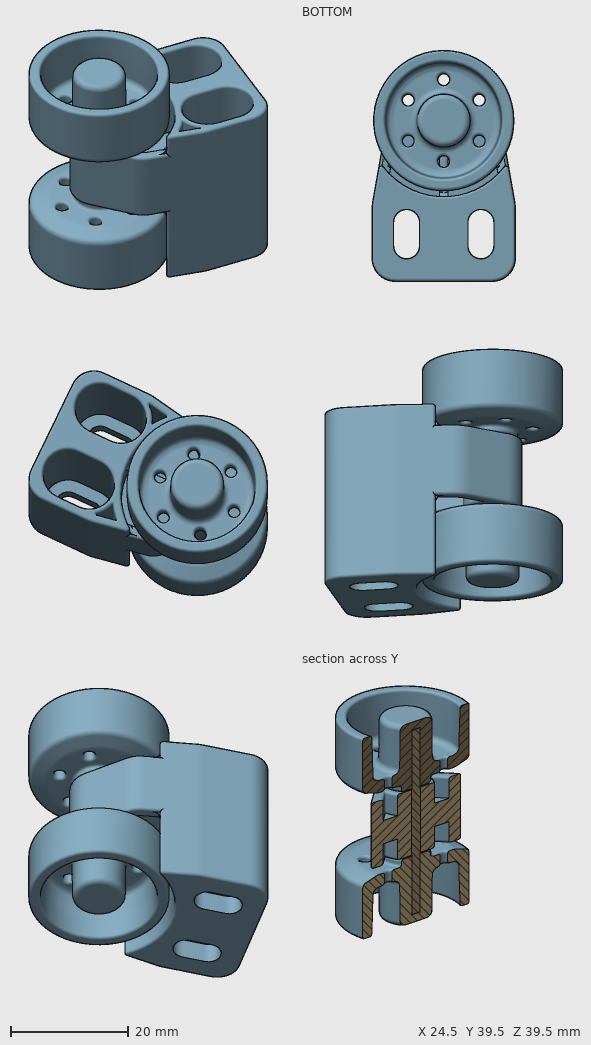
import cadquery as cq
import math


WHEEL_RADIUS = 12.0
WHEEL_RIM_Z = 19.0
WHEEL_FACE_Z = 7.7
WHEEL_FLOOR_Z = 10.1
RIM_WALL_RADIUS = 10.02
WALL_DRAFT = math.radians(2)
CONE_ANGLE = math.radians(17)
FACE_FLAT_RADIUS = 8.87
FLOOR_FLAT_RADIUS = 8.55
HUB_TOP_RADIUS = 4.5
HUB_BASE_RADIUS = 4.63
BOSS_RADIUS = 4.3
RUNNING_GAP = 0.1
EDGE_ROUND = 0.5
WHEEL_ROUND = 1.0
FACE_BLEND = 2.5
WHEEL_HOLE_COUNT = 6
WHEEL_HOLE_RADIUS = 1.0
WHEEL_HOLE_CIRCLE_RADIUS = 7.0

AXLE_RADIUS = 3.0
AXLE_END_COVER = 1.5
AXLE_END_Z = WHEEL_RIM_Z - AXLE_END_COVER

BRACKET_WIDTH = 24.5
BRACKET_BACK_Y = 27.5
BRACKET_TOP_Z = 10.0
BRACKET_BOTTOM_Z = -20.5
BACK_CORNER_RADIUS = 4.0
SHOULDER_Y = 14.45
SHOULDER_RADIUS = 7.5
SIDE_TAPER = math.radians(10)
CHEEK_RADIUS = 5.0
NOSE_RADIUS = 5.0
ARM_HALF_HEIGHT = 6.25
WHEEL_CLEARANCE_RADIUS = 13.0
ARM_ROOT_ROUND = 0.75

SLOT_X = 6.35
SLOT_Y = 19.4
SLOT_CENTRE_DISTANCE = 4.0
SLOT_WIDTH = 4.4
BORE_RADIUS = 4.27
BASE_THICKNESS = 4.0

CORNER_POCKET_WALL = 1.5
BORE_WALL = 1.05
ARM_POCKET_DEPTH = 4.0
ARM_RIM_WALL = 2.0
ARM_BOSS_RADIUS = 5.0
ARM_RIB_WIDTH = 1.5
POCKET_CORNER_RADIUS = 0.1
ARM_JOINT_OVERLAP = 1.0


def rounded_outline(plane, corners):
    """Closed wire through (u, v, radius) corners, each rounded by a tangent arc where radius > 0."""
    points = [cq.Vector(u, v) for u, v, _ in corners]
    count = len(points)
    stretches = []
    for i in range(count):
        corner = points[i]
        radius = corners[i][2]
        if radius == 0:
            stretches.append([corner])
            continue
        back = (points[i - 1] - corner).normalized()
        ahead = (points[(i + 1) % count] - corner).normalized()
        half_angle = back.getAngle(ahead) / 2
        tangent_length = radius / math.tan(half_angle)
        bisector = (back + ahead).normalized()
        arc_middle = corner + bisector * (radius / math.sin(half_angle) - radius)
        stretches.append([corner + back * tangent_length, arc_middle, corner + ahead * tangent_length])

    outline = cq.Workplane(plane).moveTo(*stretches[0][-1].toTuple()[:2])
    for stretch in stretches[1:] + stretches[:1]:
        outline = outline.lineTo(*stretch[0].toTuple()[:2])
        if len(stretch) > 1:
            outline = outline.threePointArc(stretch[1].toTuple()[:2], stretch[2].toTuple()[:2])
    return outline.close()


def cylinder(radius, bottom, top):
    return cq.Workplane("XY").workplane(offset=bottom).circle(radius).extrude(top - bottom)


def add_wheel_holes(wheel):
    """Ring of holes through the floor of the cup, with both mouths rounded."""
    for i in range(WHEEL_HOLE_COUNT):
        angle = 2 * math.pi * i / WHEEL_HOLE_COUNT
        x = WHEEL_HOLE_CIRCLE_RADIUS * math.sin(angle)
        y = WHEEL_HOLE_CIRCLE_RADIUS * math.cos(angle)
        wheel = wheel.cut(cylinder(WHEEL_HOLE_RADIUS, 0, WHEEL_RIM_Z).translate((x, y, 0)))
        reach = WHEEL_HOLE_RADIUS + EDGE_ROUND / 2
        low = (x - reach, y - reach, WHEEL_FACE_Z - EDGE_ROUND)
        high = (x + reach, y + reach, WHEEL_FLOOR_Z + EDGE_ROUND)
        hole_box = cq.selectors.BoxSelector(low, high, boundingbox=True)
        wheel = wheel.edges(hole_box).edges("%CIRCLE").fillet(EDGE_ROUND)
    return wheel


def make_wheel():
    """Upper wheel: a cup with a coned face, a closed hub for the axle and a ring of holes."""
    cone_slope = math.tan(CONE_ANGLE)
    draft_slope = math.tan(WALL_DRAFT)
    cone_outer_z = WHEEL_FACE_Z + (WHEEL_RADIUS - FACE_FLAT_RADIUS) * cone_slope
    wall_drop = WHEEL_RIM_Z - WHEEL_FLOOR_Z - (RIM_WALL_RADIUS - FLOOR_FLAT_RADIUS) * cone_slope
    wall_drop /= 1 - draft_slope * cone_slope
    wall_foot_radius = RIM_WALL_RADIUS - wall_drop * draft_slope
    boss_end_z = ARM_HALF_HEIGHT + RUNNING_GAP
    profile = [
        (0, AXLE_END_Z, 0),
        (0, WHEEL_RIM_Z, 0),
        (HUB_TOP_RADIUS, WHEEL_RIM_Z, WHEEL_ROUND),
        (HUB_BASE_RADIUS, WHEEL_FLOOR_Z, WHEEL_ROUND),
        (FLOOR_FLAT_RADIUS, WHEEL_FLOOR_Z, WHEEL_ROUND),
        (wall_foot_radius, WHEEL_RIM_Z - wall_drop, WHEEL_ROUND),
        (RIM_WALL_RADIUS, WHEEL_RIM_Z, EDGE_ROUND),
        (WHEEL_RADIUS, WHEEL_RIM_Z, EDGE_ROUND),
        (WHEEL_RADIUS, cone_outer_z, WHEEL_ROUND),
        (FACE_FLAT_RADIUS, WHEEL_FACE_Z, FACE_BLEND),
        (BOSS_RADIUS, WHEEL_FACE_Z, EDGE_ROUND),
        (BOSS_RADIUS, boss_end_z, EDGE_ROUND),
        (AXLE_RADIUS, boss_end_z, 0),
        (AXLE_RADIUS, AXLE_END_Z, 0),
    ]
    wheel = rounded_outline("XZ", profile).revolve(360, (0, 0, 0), (0, 1, 0))
    return add_wheel_holes(wheel)


def side_x(y):
    """Half width of the bracket on its tapered flank."""
    return BRACKET_WIDTH / 2 - (SHOULDER_Y - y) * math.tan(SIDE_TAPER)


def bracket_outline():
    """Plan outline: square back, tapered flanks and a 45-degree nose round the axle."""
    half_width = BRACKET_WIDTH / 2
    nose_tip_y = -NOSE_RADIUS * math.sqrt(2)
    taper_slope = math.tan(SIDE_TAPER)
    cheek_y = (side_x(0) + nose_tip_y) / (1 - taper_slope)
    right = [
        (side_x(cheek_y), cheek_y, CHEEK_RADIUS),
        (half_width, SHOULDER_Y, SHOULDER_RADIUS),
        (half_width, BRACKET_BACK_Y, BACK_CORNER_RADIUS),
    ]
    left = [(-x, y, radius) for x, y, radius in reversed(right)]
    return rounded_outline("XY", [(0, nose_tip_y, NOSE_RADIUS)] + right + left)


def slot_prism(width, x, bottom, top):
    """Upright prism at one mounting slot, with round ends and long in Y."""
    return (
        cq.Workplane("XY")
        .workplane(offset=bottom)
        .center(x, SLOT_Y)
        .slot2D(SLOT_CENTRE_DISTANCE + width, width, 90)
        .extrude(top - bottom)
    )


def corner_pocket(sign):
    """Three-sided pocket between the flank, the clearance bore and the wheel clearance."""
    floor_z = BRACKET_BOTTOM_Z + BASE_THICKNESS
    wall_x = CORNER_POCKET_WALL / math.cos(SIDE_TAPER)
    front_y = WHEEL_CLEARANCE_RADIUS / 2
    flank = [
        (sign * SLOT_X, front_y),
        (sign * (side_x(front_y) - wall_x), front_y),
        (sign * (side_x(SHOULDER_Y) - wall_x), SHOULDER_Y),
        (sign * SLOT_X, SHOULDER_Y),
    ]
    pocket = cq.Workplane("XY").workplane(offset=floor_z).polyline(flank).close()
    pocket = pocket.extrude(BRACKET_TOP_Z - floor_z)
    pocket = pocket.cut(slot_prism(2 * (BORE_RADIUS + BORE_WALL), sign * SLOT_X, floor_z, BRACKET_TOP_Z))
    pocket = pocket.cut(cylinder(WHEEL_CLEARANCE_RADIUS + CORNER_POCKET_WALL, floor_z, BRACKET_TOP_Z))
    return pocket.edges("|Z").fillet(POCKET_CORNER_RADIUS)


def arm_pockets():
    """Pair of pockets in the upper arm face, either side of the rib behind the axle boss."""
    floor_z = ARM_HALF_HEIGHT - ARM_POCKET_DEPTH
    top_z = ARM_HALF_HEIGHT + ARM_ROOT_ROUND
    inside = bracket_outline().offset2D(-ARM_RIM_WALL).extrude(top_z - floor_z)
    inside = inside.translate((0, 0, floor_z))
    pockets = inside.intersect(cylinder(WHEEL_CLEARANCE_RADIUS, floor_z, top_z))
    pockets = pockets.cut(cylinder(ARM_BOSS_RADIUS, floor_z, top_z))
    reach = 2 * WHEEL_CLEARANCE_RADIUS
    pockets = pockets.cut(cq.Workplane("XY").box(ARM_RIB_WIDTH, reach, reach))
    return pockets.edges("|Z").fillet(POCKET_CORNER_RADIUS)


def make_mounting_block():
    """Full-height block behind the wheels, with rounded horns and rounded end edges."""
    block = bracket_outline().extrude(BRACKET_TOP_Z - BRACKET_BOTTOM_Z)
    block = block.translate((0, 0, BRACKET_BOTTOM_Z))
    block = block.cut(cylinder(WHEEL_CLEARANCE_RADIUS, BRACKET_BOTTOM_Z, BRACKET_TOP_Z))
    block = block.edges("|Z and <Y").fillet(EDGE_ROUND)
    return block.faces("<Z or >Z").edges().fillet(EDGE_ROUND)


def round_openings(body, end_face):
    """Round the rims of all openings in one flat end face."""
    face = body.faces(end_face).val()
    rims = [edge for wire in face.innerWires() for edge in wire.Edges()]
    return body.newObject([body.val().fillet(EDGE_ROUND, rims)])


def make_arm(pockets):
    """Pocketed slab between the wheels with rounded edges."""
    arm = bracket_outline().extrude(2 * ARM_HALF_HEIGHT).translate((0, 0, -ARM_HALF_HEIGHT))
    arm = arm.faces("<Z or >Z").edges().fillet(EDGE_ROUND)
    arm = arm.cut(pockets).cut(pockets.mirror("XY"))
    arm = round_openings(arm, ">Z")
    return round_openings(arm, "<Z")


def arm_root():
    """Concave round where the upper arm face meets the wheel clearance wall."""
    inner = WHEEL_CLEARANCE_RADIUS - ARM_ROOT_ROUND
    outer = WHEEL_CLEARANCE_RADIUS + EDGE_ROUND
    top = ARM_HALF_HEIGHT + ARM_ROOT_ROUND
    middle = ARM_ROOT_ROUND * math.sqrt(0.5)
    root = (
        cq.Workplane("XZ")
        .moveTo(inner, 0)
        .lineTo(inner, ARM_HALF_HEIGHT)
        .threePointArc((inner + middle, top - middle), (WHEEL_CLEARANCE_RADIUS, top))
        .lineTo(outer, top)
        .lineTo(outer, 0)
        .close()
        .revolve(180, (0, 0, 0), (0, 1, 0))
    )
    return root.intersect(bracket_outline().offset2D(-EDGE_ROUND).extrude(BRACKET_TOP_Z))


def make_bracket():
    block = make_mounting_block()
    floor_z = BRACKET_BOTTOM_Z + BASE_THICKNESS
    for sign in (-1, 1):
        block = block.cut(slot_prism(2 * BORE_RADIUS, sign * SLOT_X, floor_z, BRACKET_TOP_Z))
        block = block.cut(slot_prism(SLOT_WIDTH, sign * SLOT_X, BRACKET_BOTTOM_Z, floor_z))
        block = block.cut(corner_pocket(sign))
    block = round_openings(block, ">Z")

    pockets = arm_pockets()
    arm = make_arm(pockets)
    joint_radius = WHEEL_CLEARANCE_RADIUS + ARM_JOINT_OVERLAP
    arm = arm.intersect(cylinder(joint_radius, -ARM_HALF_HEIGHT, ARM_HALF_HEIGHT))
    root = arm_root().cut(pockets)
    bracket = block.union(arm).union(root).union(root.mirror("XY"))
    return bracket.cut(cylinder(AXLE_RADIUS, -ARM_HALF_HEIGHT, ARM_HALF_HEIGHT))


axle = cylinder(AXLE_RADIUS, -AXLE_END_Z, AXLE_END_Z)
upper_wheel = make_wheel()
lower_wheel = upper_wheel.mirror("XY")
bracket = make_bracket()
result = cq.Compound.makeCompound([bracket.val(), axle.val(), upper_wheel.val(), lower_wheel.val()])